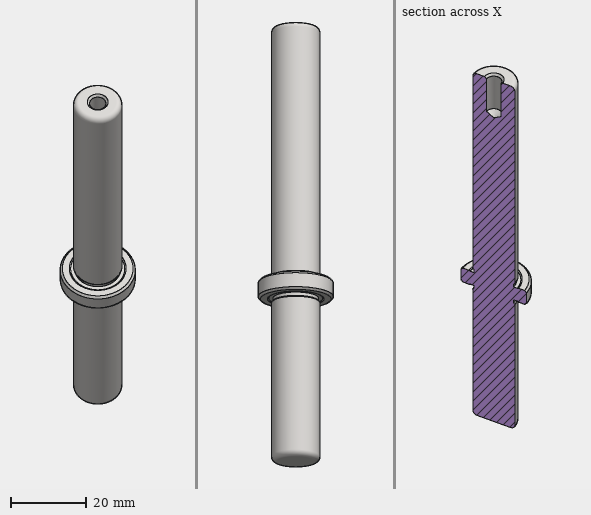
import cadquery as cq
import math

length = 120.0
shaft_radius = 6.5
end_radius = 1.5

collar_diameter = 20.0
collar_bottom = 45.0
collar_thickness = 5.0
collar_top = collar_bottom + collar_thickness
collar_chamfer = 0.6

relief_depth = 0.4
relief_width = 1.1
relief_ramp = 0.4
face_relief_radius = 7.5
face_relief_depth = 0.18
face_relief_ramp = 0.4

hole_radius = 2.2
hole_depth = 12.0
countersink_radius = 2.8
countersink_depth = 0.6
drill_point_angle = 118.0


def make_shaft():
    """Plain shaft with both ends rounded."""
    shaft = cq.Workplane("XY").circle(shaft_radius).extrude(length)
    return shaft.faces("<Z or >Z").edges().fillet(end_radius)


def make_collar():
    """Collar with chamfered rims."""
    collar = cq.Workplane("XY").workplane(offset=collar_bottom)
    collar = collar.circle(collar_diameter / 2).extrude(collar_thickness)
    return collar.edges().chamfer(collar_chamfer)


def make_relief(face_z, direction):
    """Ring removed at the corner of a collar face; direction points away from the collar."""
    neck_radius = shaft_radius - relief_depth
    floor_z = face_z - direction * face_relief_depth
    shaft_end_z = face_z + direction * relief_width
    ramp_end_z = shaft_end_z - direction * relief_ramp
    profile = [
        (neck_radius, floor_z),
        (face_relief_radius - face_relief_ramp, floor_z),
        (face_relief_radius, face_z),
        (shaft_radius, shaft_end_z),
        (neck_radius, ramp_end_z),
    ]
    return cq.Workplane("XZ").polyline(profile).close().revolve(360, (0, 0), (0, 1))


def make_hole():
    """Countersunk blind hole with a conical drill point."""
    floor_z = length - hole_depth
    point_height = hole_radius / math.tan(math.radians(drill_point_angle / 2))
    profile = [
        (0, length),
        (countersink_radius, length),
        (hole_radius, length - countersink_depth),
        (hole_radius, floor_z),
        (0, floor_z - point_height),
    ]
    return cq.Workplane("XZ").polyline(profile).close().revolve(360, (0, 0), (0, 1))


result = make_shaft().union(make_collar())
result = result.cut(make_relief(collar_top, 1))
result = result.cut(make_relief(collar_bottom, -1))
result = result.cut(make_hole())